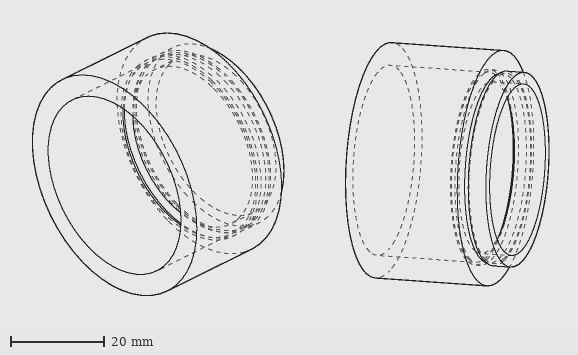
import cadquery as cq

body_diameter = 50.8
body_length = body_diameter / 2
neck_diameter = 41.0
neck_length = 1.0
lip_diameter = 42.0
lip_length = 4.0
socket_diameter = 41.0
socket_depth = 23.4
groove_diameter = 42.2
groove_width = 1.0
bore_diameter = 37.0

total_length = body_length + neck_length + lip_length


def cylinder(diameter, start, length):
    """Solid cylinder along +Y whose near face lies at Y = start."""
    base = cq.Workplane("XZ", origin=(0, start, 0))
    return base.circle(diameter / 2).extrude(-length)


body = cylinder(body_diameter, 0, body_length)
neck = cylinder(neck_diameter, body_length, neck_length)
lip = cylinder(lip_diameter, body_length + neck_length, lip_length)
outside = body.union(neck).union(lip)

socket = cylinder(socket_diameter, 0, socket_depth)
groove = cylinder(groove_diameter, socket_depth - groove_width, groove_width)
bore = cylinder(bore_diameter, 0, total_length)

result = outside.cut(socket).cut(groove).cut(bore)